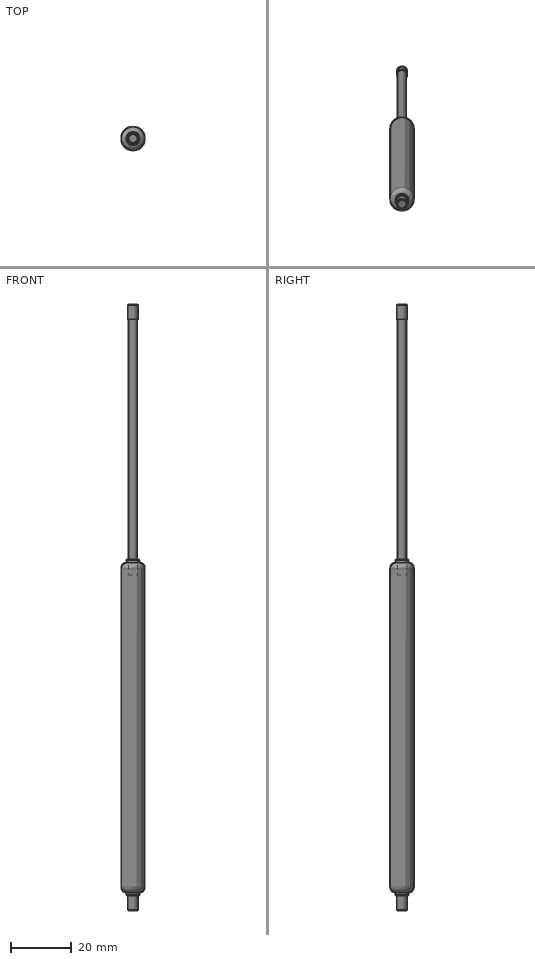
import cadquery as cq

OVERALL_LENGTH = 202.0
STUD_DIAMETER = 3.5
STUD_LENGTH = 5.0
STUD_CHAMFER = 0.3
STROKE = 80.0
ROD_DIAMETER = 3.0
BARREL_DIAMETER = 8.0
SHOULDER_RADIUS = 2.0
NECK_DIAMETER = 4.4
NECK_HEIGHT = 1.0
NECK_CHAMFER = 0.3
SOCKET_DEPTH = 5.0

BARREL_LENGTH = OVERALL_LENGTH - STROKE - 2 * STUD_LENGTH

STUD_BOTTOM = -OVERALL_LENGTH / 2
BARREL_BOTTOM = STUD_BOTTOM + STUD_LENGTH
BARREL_TOP = BARREL_BOTTOM + BARREL_LENGTH
ROD_BOTTOM = BARREL_TOP - SOCKET_DEPTH
TIP_BOTTOM = BARREL_TOP + STROKE


def cylinder(diameter, bottom, length):
    """Upright cylinder on the Z axis."""
    return cq.Workplane("XY").workplane(offset=bottom).circle(diameter / 2).extrude(length)


def make_barrel():
    """Barrel with rolled ends, a neck at each end, a foot stud and a socket for the rod."""
    body_length = BARREL_LENGTH - 2 * NECK_HEIGHT
    body = cylinder(BARREL_DIAMETER, BARREL_BOTTOM + NECK_HEIGHT, body_length)
    body = body.faces("<Z or >Z").edges().fillet(SHOULDER_RADIUS)
    necks = cylinder(NECK_DIAMETER, BARREL_BOTTOM, BARREL_LENGTH)
    necks = necks.faces("<Z or >Z").chamfer(NECK_CHAMFER)
    stud = cylinder(STUD_DIAMETER, STUD_BOTTOM, STUD_LENGTH)
    stud = stud.faces("<Z").chamfer(STUD_CHAMFER)
    socket = cylinder(ROD_DIAMETER, ROD_BOTTOM, SOCKET_DEPTH)
    return body.union(necks).union(stud).cut(socket)


def make_rod():
    """Rod that fills the barrel socket and carries the wider tip."""
    shaft = cylinder(ROD_DIAMETER, ROD_BOTTOM, TIP_BOTTOM - ROD_BOTTOM)
    tip = cylinder(STUD_DIAMETER, TIP_BOTTOM, STUD_LENGTH)
    tip = tip.faces(">Z").chamfer(STUD_CHAMFER)
    return shaft.union(tip)


barrel = make_barrel()
rod = make_rod()

result = cq.Compound.makeCompound([barrel.val(), rod.val()])